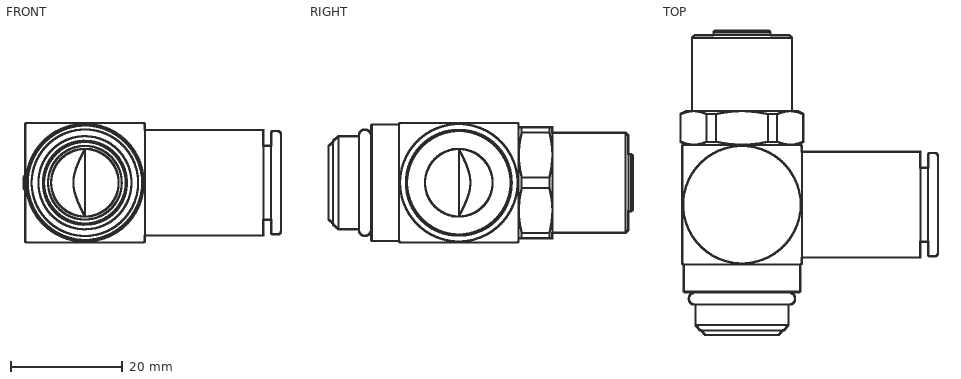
import cadquery as cq

body_size = 21.5
face_circle_radius = 10.55

hex_across_flats = 20.0
hex_corner_radius = 11.05
hex_end_radius = 9.95
hex_length = 6.05
hex_chamfer = 0.55

sleeve_radius = 9.0
sleeve_end = 30.45
sleeve_chamfer = 0.55
tip_radius = 5.15
tip_end = 31.25
tip_chamfer = 0.35

collar_radius = 10.5
collar_length = 5.05
collar_chamfer = 0.2
ring_section_radius = 1.1
ring_outer_radius = 9.55
spigot_radius = 8.35
spigot_end = -23.4
lead_in_length = 1.8
lead_in_break_radius = 7.55
lead_in_step_radius = 7.3
lead_in_break_length = 0.8
lead_in_end_radius = 6.6

branch_radius = 9.5
branch_end = 32.0
neck_radius = 6.65
flange_radius = 9.3
flange_start = 33.4
flange_end = 35.2
flange_outer_fillet = 0.6
flange_inner_fillet = 0.4

bore_radius = 6.05
drill_point_depth = 3.15

half_body = body_size / 2
hex_end = half_body + hex_length
collar_end = -half_body - collar_length


def cylinder_y(radius, start, end):
    """Cylinder on the Y axis between two Y positions."""
    return cq.Workplane("XZ", origin=(0, start, 0)).circle(radius).extrude(start - end)


def cylinder_x(radius, start, end):
    """Cylinder on the X axis between two X positions."""
    return cq.Workplane("YZ", origin=(start, 0, 0)).circle(radius).extrude(end - start)


def revolve_y(points):
    """Solid of revolution about Y from (radius, y) points."""
    return cq.Workplane("XY").polyline(points).close().revolve(360, (0, 0, 0), (0, 1, 0))


def make_body():
    """Cube whose corners are rounded by a sphere, leaving a circular flat on each face."""
    sphere_radius = (half_body**2 + face_circle_radius**2) ** 0.5
    return cq.Workplane("XY").box(body_size, body_size, body_size).intersect(
        cq.Workplane("XY").sphere(sphere_radius)
    )


def make_hexagon():
    """Hexagon with flats facing +Z and -Z, turned corners and chamfered ends."""
    prism = (
        cq.Workplane("XZ", origin=(0, half_body, 0))
        .polygon(6, hex_across_flats, circumscribed=True)
        .extrude(-hex_length)
        .rotate((0, 0, 0), (0, 1, 0), 30)
    )
    envelope = revolve_y([
        (0, half_body),
        (hex_end_radius, half_body),
        (hex_corner_radius, half_body + hex_chamfer),
        (hex_corner_radius, hex_end - hex_chamfer),
        (hex_end_radius, hex_end),
        (0, hex_end),
    ])
    return prism.intersect(envelope)


def make_sleeve():
    """Chamfered sleeve with a small tip at its end."""
    sleeve = cylinder_y(sleeve_radius, half_body, sleeve_end).faces(">Y").chamfer(sleeve_chamfer)
    tip = cylinder_y(tip_radius, half_body, tip_end).faces(">Y").chamfer(tip_chamfer)
    return sleeve.union(tip)


def make_spigot():
    """Collar, O-ring and spigot with a stepped lead-in, revolved as one profile."""
    ring_center_radius = ring_outer_radius - ring_section_radius
    ring_center = collar_end - ring_section_radius
    ring_end = ring_center - ring_section_radius
    break_position = spigot_end + lead_in_break_length
    profile = (
        cq.Workplane("XY")
        .lineTo(collar_radius, 0)
        .lineTo(collar_radius, collar_end + collar_chamfer)
        .lineTo(collar_radius - collar_chamfer, collar_end)
        .lineTo(ring_center_radius, collar_end)
        .threePointArc((ring_outer_radius, ring_center), (ring_center_radius, ring_end))
        .lineTo(spigot_radius, ring_end)
        .lineTo(spigot_radius, spigot_end + lead_in_length)
        .lineTo(lead_in_break_radius, break_position)
        .lineTo(lead_in_step_radius, break_position)
        .lineTo(lead_in_end_radius, spigot_end)
        .lineTo(0, spigot_end)
        .close()
    )
    return profile.revolve(360, (0, 0, 0), (0, 1, 0))


def make_branch():
    """Tube branch with a narrow neck and a rounded release flange."""
    barrel = cylinder_x(branch_radius, 0, branch_end)
    neck = cylinder_x(neck_radius, 0, flange_end)
    flange = (
        cylinder_x(flange_radius, flange_start, flange_end)
        .faces(">X").edges().fillet(flange_outer_fillet)
        .faces("<X").edges().fillet(flange_inner_fillet)
    )
    return barrel.union(neck).union(flange)


def make_bores():
    """Spigot bore and branch bore, open at their outer ends."""
    spigot_bore = revolve_y([
        (0, spigot_end),
        (bore_radius, spigot_end),
        (bore_radius, 0),
        (0, drill_point_depth),
    ])
    branch_bore = (
        cq.Workplane("XY")
        .polyline([(flange_end, 0), (flange_end, bore_radius), (0, bore_radius), (-drill_point_depth, 0)])
        .close()
        .revolve(360, (0, 0, 0), (1, 0, 0))
    )
    return spigot_bore.union(branch_bore)


result = (
    make_body()
    .union(make_hexagon())
    .union(make_sleeve())
    .union(make_spigot())
    .union(make_branch())
    .cut(make_bores())
)